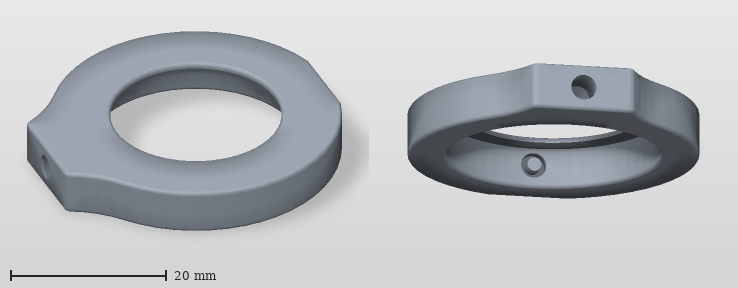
import cadquery as cq
import math

outer_radius = 18.75
rear_flat_y = 18.0
overall_length = 39.0
neck_face_y = rear_flat_y - overall_length
thickness = 6.0

neck_half_width = 6.5
flank_radius = 15.0
neck_corner_radius = 1.0

bore_radius = 11.0
seat_radius = 13.75
lip_thickness = 0.75

neck_hole_diameter = 3.28
neck_hole_depth = 5.0
drill_tip_angle = 118.0

rear_hole_diameter = 3.28
pin_nose_diameter = 1.8
pin_face_y = 13.15
pin_shoulder_y = 15.0

edge_radius = 0.5


def flank_tangent_and_middle():
    """Right flank: the point tangent to the ring, and the middle of its arc."""
    reach = outer_radius + flank_radius
    corner_distance = math.hypot(neck_half_width, neck_face_y)
    corner_angle = math.atan2(neck_face_y, neck_half_width)
    cosine = (reach**2 + corner_distance**2 - flank_radius**2) / (2 * reach * corner_distance)
    center_angle = corner_angle + math.acos(cosine)
    direction = cq.Vector(math.cos(center_angle), math.sin(center_angle))
    center = direction * reach
    tangent = direction * outer_radius
    corner = cq.Vector(neck_half_width, neck_face_y)
    toward_middle = ((tangent + corner) * 0.5 - center).normalized()
    middle = center + toward_middle * flank_radius
    return tangent, middle


def make_blank():
    """Solid plate with the ring outline, rear flat and neck, all edges rounded."""
    flat_half_width = math.sqrt(outer_radius**2 - rear_flat_y**2)
    tangent, middle = flank_tangent_and_middle()
    blank = (
        cq.Workplane("XY")
        .moveTo(-neck_half_width, neck_face_y)
        .lineTo(neck_half_width, neck_face_y)
        .threePointArc((middle.x, middle.y), (tangent.x, tangent.y))
        .threePointArc((outer_radius, 0), (flat_half_width, rear_flat_y))
        .lineTo(-flat_half_width, rear_flat_y)
        .threePointArc((-outer_radius, 0), (-tangent.x, tangent.y))
        .threePointArc((-middle.x, middle.y), (-neck_half_width, neck_face_y))
        .close()
        .extrude(thickness)
    )
    blank = blank.faces("<Y").edges("|Z").fillet(neck_corner_radius)
    return blank.faces("<Z or >Z").edges().fillet(edge_radius)


def make_bore():
    """Space of the bore and the wider seat below the lip, flared at both rounded rims."""
    seat_top_z = thickness - lip_thickness
    arc_inset = edge_radius * (1 - math.sqrt(0.5))
    return (
        cq.Workplane("XZ")
        .lineTo(seat_radius + edge_radius, 0)
        .threePointArc((seat_radius + arc_inset, arc_inset), (seat_radius, edge_radius))
        .lineTo(seat_radius, seat_top_z)
        .lineTo(bore_radius, seat_top_z)
        .lineTo(bore_radius, thickness - edge_radius)
        .threePointArc(
            (bore_radius + arc_inset, thickness - arc_inset),
            (bore_radius + edge_radius, thickness),
        )
        .lineTo(0, thickness)
        .close()
        .revolve(360, (0, 0, 0), (0, 1, 0))
    )


def make_neck_hole():
    """Drill shape running +Y from the neck face, ending in a conical tip."""
    radius = neck_hole_diameter / 2
    shoulder_y = neck_face_y + neck_hole_depth
    tip_y = shoulder_y + radius / math.tan(math.radians(drill_tip_angle / 2))
    return (
        cq.Workplane("XY", origin=(0, 0, thickness / 2))
        .moveTo(0, neck_face_y)
        .lineTo(radius, neck_face_y)
        .lineTo(radius, shoulder_y)
        .lineTo(0, tip_y)
        .close()
        .revolve(360, (0, 0, 0), (0, 1, 0))
    )


def rod_along_y(diameter, start_y, end_y):
    """Round rod at mid thickness, parallel to Y."""
    middle = cq.Workplane("XZ", origin=(0, start_y, thickness / 2))
    return middle.circle(diameter / 2).extrude(start_y - end_y)


def make_ring():
    """Ring with its bore, neck hole and rear hole."""
    rear_hole = rod_along_y(rear_hole_diameter, 0, rear_flat_y)
    return make_blank().cut(make_bore()).cut(make_neck_hole()).cut(rear_hole)


def make_pin():
    """Pin flush with the rear flat, its narrower nose reaching just inside the seat wall."""
    shank = rod_along_y(rear_hole_diameter, pin_shoulder_y, rear_flat_y)
    nose = rod_along_y(pin_nose_diameter, pin_face_y, pin_shoulder_y)
    return shank.union(nose)


ring = make_ring()
pin = make_pin()

result = cq.Compound.makeCompound([ring.val(), pin.val()])